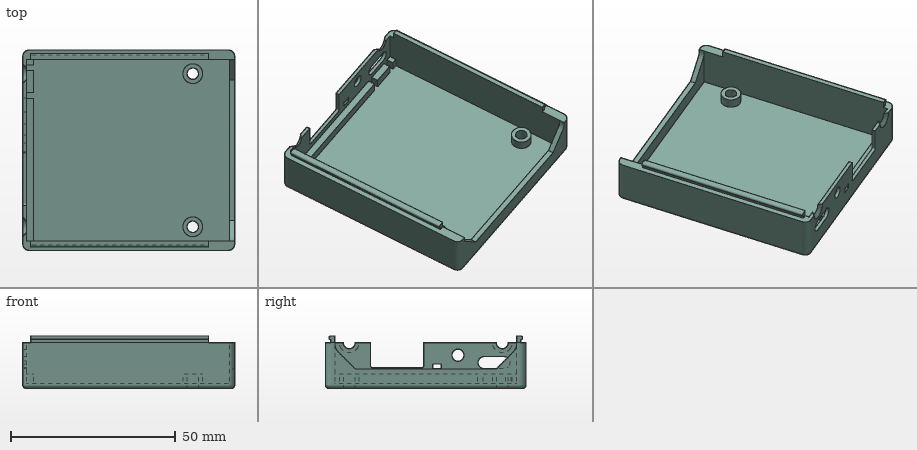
import cadquery as cq
import math

LENGTH = 64.5
WIDTH = 61.0
WALL_TOP = 13.9
CORNER_RADIUS = 2.0
BOTTOM_FILLET = 1.0
FLOOR = 1.5
CONNECTOR_WALL = 1.1
LOW_WALL = 1.7
SIDE_WALL = 2.9
INNER_HALF_WIDTH = WIDTH / 2 - SIDE_WALL
CUT_MARGIN = 0.65

SUPPORT_TOP = 4.4
LEDGE_WIDTH = 2.1
LEDGE_GAP_WIDTH = 1.7
LEDGE_GAP_CENTRES = (25.1, 16.65)
BOSS_DIAMETER = 6.0
BOSS_HOLE = 3.4
BOSS_X = 51.7
BOSS_Y = 23.3

RAIL_START = 2.4
RAIL_LENGTH = 54.2
RAIL_HEIGHT = 2.05
RAIL_STEM = 1.3
RAIL_BEAD_RADIUS = 0.6

OPENING_DIAMETER = 3.6
OPENING_SILL = 6.05
SLOT_LENGTH = 9.7
SLOT_Y = 20.8
ROUND_Y = 9.8
ROUND_Z = 10.1
WINDOW_WIDTH = 2.5
WINDOW_HEIGHT = 1.35
WINDOW_Y = 3.4
NOTCH_WIDTH = 16.2
NOTCH_Y = -8.7
NOTCH_SILL = 6.3
NOTCH_FILLET = 0.65
SADDLE_Y = 23.3
SADDLE_OUTER_DIAMETER = 6.0

SCOOP_SILL = 5.95
SCOOP_SILL_HALF = 21.4
SCOOP_ARC_RADIUS = 3.3


def box(x_start, x_end, y_start, y_end, z_start, z_end):
    size = (x_end - x_start, y_end - y_start, z_end - z_start)
    return cq.Workplane("XY").box(*size, centered=False).translate((x_start, y_start, z_start))


def make_tray():
    tray = box(0, LENGTH, -WIDTH / 2, WIDTH / 2, 0, WALL_TOP)
    tray = tray.edges("|Z").fillet(CORNER_RADIUS).faces("<Z").edges().fillet(BOTTOM_FILLET)
    cavity = box(CONNECTOR_WALL, LENGTH - LOW_WALL, -INNER_HALF_WIDTH, INNER_HALF_WIDTH,
                 FLOOR, WALL_TOP + CUT_MARGIN)
    return tray.cut(cavity)


def make_ledge():
    ledge_end = CONNECTOR_WALL + LEDGE_WIDTH
    ledge = box(CONNECTOR_WALL, ledge_end, -INNER_HALF_WIDTH, INNER_HALF_WIDTH, FLOOR, SUPPORT_TOP)
    for y in LEDGE_GAP_CENTRES:
        half_gap = LEDGE_GAP_WIDTH / 2
        ledge = ledge.cut(box(CONNECTOR_WALL, ledge_end, y - half_gap, y + half_gap, FLOOR, SUPPORT_TOP))
    return ledge


def make_rail():
    """Rail on the +Y side wall: an upright stem with a half-round bead along its outer top edge."""
    top = WALL_TOP + RAIL_HEIGHT
    stem_face = INNER_HALF_WIDTH + RAIL_STEM
    return (
        cq.Workplane("YZ", origin=(RAIL_START, 0, 0))
        .moveTo(INNER_HALF_WIDTH, WALL_TOP)
        .lineTo(stem_face, WALL_TOP)
        .lineTo(stem_face, top - 2 * RAIL_BEAD_RADIUS)
        .threePointArc((stem_face + RAIL_BEAD_RADIUS, top - RAIL_BEAD_RADIUS), (stem_face, top))
        .lineTo(INNER_HALF_WIDTH, top)
        .close()
        .extrude(RAIL_LENGTH)
    )


def make_connector_openings():
    wall_plane = cq.Workplane("YZ", origin=(-CUT_MARGIN, 0, 0))
    depth = CONNECTOR_WALL + 2 * CUT_MARGIN
    slot_z = OPENING_SILL + OPENING_DIAMETER / 2
    slot = wall_plane.center(SLOT_Y, slot_z).slot2D(SLOT_LENGTH, OPENING_DIAMETER).extrude(depth)
    round_hole = wall_plane.center(ROUND_Y, ROUND_Z).circle(OPENING_DIAMETER / 2).extrude(depth)
    window_z = OPENING_SILL + WINDOW_HEIGHT / 2
    window = wall_plane.center(WINDOW_Y, window_z).rect(WINDOW_WIDTH, WINDOW_HEIGHT).extrude(depth)
    notch = box(-CUT_MARGIN, CONNECTOR_WALL + CUT_MARGIN,
                NOTCH_Y - NOTCH_WIDTH / 2, NOTCH_Y + NOTCH_WIDTH / 2,
                NOTCH_SILL, WALL_TOP + CUT_MARGIN)
    notch = notch.faces("<Z").edges("|X").fillet(NOTCH_FILLET)
    return slot.union(round_hole).union(window).union(notch)


def make_saddle(y):
    """Half-round seat that narrows through the connector wall."""
    return (
        cq.Workplane("YZ")
        .center(y, WALL_TOP)
        .circle(SADDLE_OUTER_DIAMETER / 2)
        .workplane(offset=CONNECTOR_WALL)
        .circle(OPENING_DIAMETER / 2)
        .loft()
    )


def make_scoop():
    sin_45 = math.sqrt(0.5)
    arc_inset = SCOOP_ARC_RADIUS * (1 - sin_45)
    flank_half = INNER_HALF_WIDTH - arc_inset
    flank_top = SCOOP_SILL + flank_half - SCOOP_SILL_HALF
    arc_top = flank_top + SCOOP_ARC_RADIUS * sin_45
    arc_middle_half = INNER_HALF_WIDTH - SCOOP_ARC_RADIUS * (1 - math.cos(math.pi / 8))
    arc_middle_z = arc_top - SCOOP_ARC_RADIUS * math.sin(math.pi / 8)
    scoop_top = WALL_TOP + CUT_MARGIN
    return (
        cq.Workplane("YZ", origin=(LENGTH - LOW_WALL, 0, 0))
        .moveTo(-INNER_HALF_WIDTH, scoop_top)
        .lineTo(-INNER_HALF_WIDTH, arc_top)
        .threePointArc((-arc_middle_half, arc_middle_z), (-flank_half, flank_top))
        .lineTo(-SCOOP_SILL_HALF, SCOOP_SILL)
        .lineTo(SCOOP_SILL_HALF, SCOOP_SILL)
        .lineTo(flank_half, flank_top)
        .threePointArc((arc_middle_half, arc_middle_z), (INNER_HALF_WIDTH, arc_top))
        .lineTo(INNER_HALF_WIDTH, scoop_top)
        .close()
        .extrude(LOW_WALL)
    )


result = make_tray().union(make_ledge())
rail = make_rail()
result = result.union(rail).union(rail.mirror("XZ"))
result = result.cut(make_connector_openings()).cut(make_scoop())

for side in (-1, 1):
    result = result.cut(make_saddle(side * SADDLE_Y))
    boss_base = cq.Workplane("XY").center(BOSS_X, side * BOSS_Y)
    boss = boss_base.workplane(offset=FLOOR).circle(BOSS_DIAMETER / 2).extrude(SUPPORT_TOP - FLOOR)
    boss_hole = boss_base.circle(BOSS_HOLE / 2).extrude(SUPPORT_TOP)
    result = result.union(boss).cut(boss_hole)